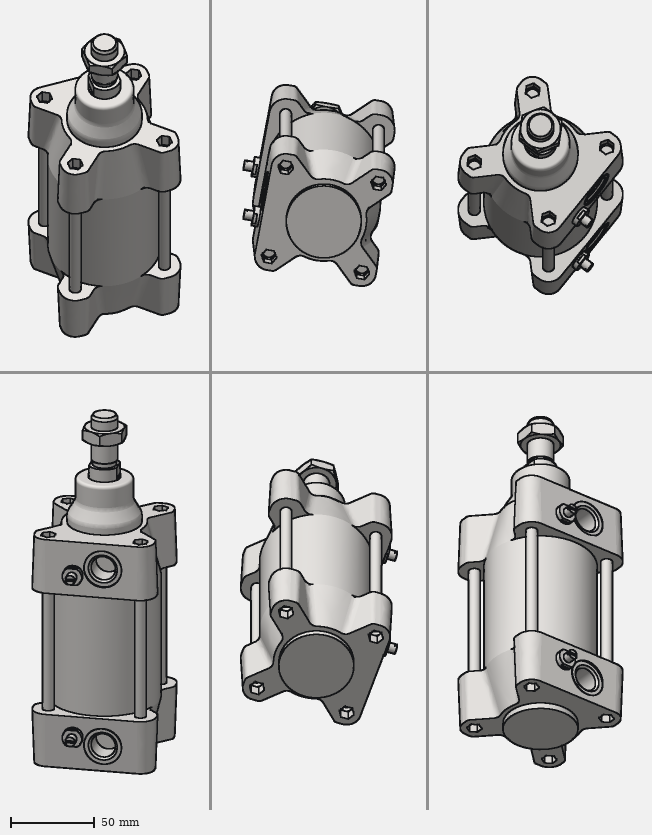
import cadquery as cq
import math


rear_spigot_length = 4.0
cap_length = 34.0
barrel_length = 78.0
gland_length = 29.0
flats_length = 8.0
thread_length = 32.0
rear_cap_inner = rear_spigot_length + cap_length
front_cap_inner = rear_cap_inner + barrel_length
front_cap_outer = front_cap_inner + cap_length
gland_top = front_cap_outer + gland_length
thread_start = gland_top + flats_length
rod_top = thread_start + thread_length

cap_half_width = 38.0
cap_draft = 2.0
bolt_half_spacing = 28.25
corner_radius = cap_half_width - bolt_half_spacing
arm_edge_radius = 4.75
arm_edge_centre = 25.1
barrel_diameter = 68.0
hub_outer_radius = 25.7
hub_blend_radius = 5.0
socket_across_flats = 8.0
socket_depth = 8.0
socket_bore_depth = 12.0

port_y = -7.0
port_height = 18.0
port_seat_diameter = 23.0
port_seat_x = -36.75
port_bore_diameter = 14.9
port_mouth_diameter = 17.7
port_depth = 15.0

screw_y = 11.0
screw_height = 13.0
screw_collar_diameter = 12.0
screw_collar_base_x = -39.0
screw_collar_end_x = -41.0
screw_collar_across_flats = 10.4
screw_pin_diameter = 6.0
screw_tip_x = -46.5
screw_slot_width = 1.3
screw_slot_depth = 1.5
screw_root_x = -35.0

tie_rod_diameter = 7.1

spigot_diameter = 45.0
gland_neck_diameter = 35.0
gland_rim_radius = 2.0
gland_shoulder_height = 5.4
gland_cone_angle = 30.0
gland_cone_blend = 5.0

rod_diameter = 19.5
rod_across_flats = 17.0
rod_collar_length = 1.0
thread_diameter = 16.0
thread_tip_diameter = 13.7
thread_tip_length = 2.0
relief_diameter = 14.5
relief_length = 3.0

nut_across_flats = 24.0
nut_thickness = 8.0
nut_top_gap = 8.0
nut_chamfer_angle = 30.0
nut_face_diameter = 24.0


def hexagon_diameter(across_flats):
    """Corner-to-corner size of a hexagon, whose corners lie on X."""
    return across_flats / math.cos(math.radians(30))


def along_minus_x(x_start, y, z):
    """Workplane at x_start facing -X, with its origin at (y, z)."""
    return cq.Workplane(cq.Plane(origin=(x_start, y, z), xDir=(0, -1, 0), normal=(-1, 0, 0)))


def along_plus_x(x_start, y, z):
    """Workplane at x_start facing +X, with its origin at (y, z)."""
    return cq.Workplane(cq.Plane(origin=(x_start, y, z), xDir=(0, 1, 0), normal=(1, 0, 0)))


def bolt_points():
    """Centres of the four tie rods."""
    sides = (-bolt_half_spacing, bolt_half_spacing)
    return [(x, y) for x in sides for y in sides]


def turned(points, angle):
    """Points turned about the cylinder axis by an angle in degrees."""
    cosine = math.cos(math.radians(angle))
    sine = math.sin(math.radians(angle))
    return [(x * cosine - y * sine, x * sine + y * cosine) for x, y in points]


def cap_outline():
    """Outline of a cap at its inner face: flat on -X, a 90 degree notch on the other three sides."""
    diagonal = math.sin(math.radians(45))
    half_bend = math.radians(22.5)
    corner_mid = bolt_half_spacing + corner_radius * diagonal
    edge_low = cap_half_width - arm_edge_radius
    edge_mid_across = arm_edge_centre - arm_edge_radius * math.sin(half_bend)
    edge_mid_out = edge_low + arm_edge_radius * math.cos(half_bend)
    edge_end_across = arm_edge_centre - arm_edge_radius * diagonal
    edge_end_out = edge_low + arm_edge_radius * diagonal
    notch_bottom = edge_end_out - edge_end_across

    side = [
        (-corner_mid, -corner_mid),
        (-bolt_half_spacing, -cap_half_width),
        (-arm_edge_centre, -cap_half_width),
        (-edge_mid_across, -edge_mid_out),
        (-edge_end_across, -edge_end_out),
        (0, -notch_bottom),
        (edge_end_across, -edge_end_out),
        (edge_mid_across, -edge_mid_out),
        (arm_edge_centre, -cap_half_width),
        (bolt_half_spacing, -cap_half_width),
    ]
    outline = cq.Workplane("XY").moveTo(-cap_half_width, bolt_half_spacing)
    outline = outline.lineTo(-cap_half_width, -bolt_half_spacing)
    for angle in (0, 90, 180):
        (
            corner, left_start, left_flat_end, left_bend, left_end,
            notch, right_end, right_bend, right_flat_start, right_start,
        ) = turned(side, angle)
        outline = (
            outline.threePointArc(corner, left_start)
            .lineTo(*left_flat_end)
            .threePointArc(left_bend, left_end)
            .lineTo(*notch)
            .lineTo(*right_end)
            .threePointArc(right_bend, right_flat_start)
            .lineTo(*right_start)
        )
    return outline.threePointArc((-corner_mid, corner_mid), (-cap_half_width, bolt_half_spacing)).close()


def cap_body():
    """Drafted plate and conical hub, blended together where they meet."""
    plate = cap_outline().extrude(cap_length, taper=cap_draft)
    hub_profile = cq.Workplane("XZ").polyline(
        [
            (0, 0),
            (barrel_diameter / 2, 0),
            (hub_outer_radius, cap_length),
            (0, cap_length),
        ]
    )
    hub = hub_profile.close().revolve(360, (0, 0, 0), (0, 1, 0))
    return plate.union(hub).edges("%HYPERBOLA or %BSPLINE").fillet(hub_blend_radius)


def port_cutter():
    """Flat seat, chamfered mouth and blind bore of a supply port."""
    seat_depth = cap_half_width + port_seat_x
    seat = (
        along_plus_x(-cap_half_width, port_y, port_height)
        .circle(port_seat_diameter / 2)
        .extrude(seat_depth)
    )
    mouth_depth = (port_mouth_diameter - port_bore_diameter) / 2
    mouth = (
        along_plus_x(port_seat_x, port_y, port_height)
        .circle(port_mouth_diameter / 2)
        .workplane(offset=mouth_depth)
        .circle(port_bore_diameter / 2)
        .loft()
    )
    bore = along_plus_x(port_seat_x, port_y, port_height).circle(port_bore_diameter / 2).extrude(port_depth)
    return seat.union(mouth).union(bore)


def cushion_screw():
    """Round collar with two flats, carrying a slotted pin."""
    base = (
        along_minus_x(screw_root_x, screw_y, screw_height)
        .circle(screw_collar_diameter / 2)
        .extrude(screw_root_x - screw_collar_base_x)
    )
    flats = along_minus_x(screw_collar_base_x, screw_y, screw_height)
    collar_length = screw_collar_base_x - screw_collar_end_x
    collar = (
        flats.circle(screw_collar_diameter / 2)
        .extrude(collar_length)
        .intersect(flats.rect(screw_collar_diameter, screw_collar_across_flats).extrude(collar_length))
    )
    pin = (
        along_minus_x(screw_collar_end_x, screw_y, screw_height)
        .circle(screw_pin_diameter / 2)
        .extrude(screw_collar_end_x - screw_tip_x)
    )
    slot = (
        along_plus_x(screw_tip_x, screw_y, screw_height)
        .rect(screw_pin_diameter, screw_slot_width)
        .extrude(screw_slot_depth)
    )
    return base.union(collar).union(pin.cut(slot))


def end_cap():
    """Complete cap, inner face on z = 0 and outer face up; its hexagon sockets continue as round bores."""
    bolt_places = cq.Workplane("XY", origin=(0, 0, cap_length)).pushPoints(bolt_points())
    sockets = bolt_places.polygon(6, hexagon_diameter(socket_across_flats)).extrude(-socket_depth)
    socket_bores = bolt_places.circle(socket_across_flats / 2).extrude(-socket_bore_depth)
    return cap_body().cut(sockets).cut(socket_bores).cut(port_cutter()).union(cushion_screw())


def gland():
    """Neck with a rounded rim, flared by a blended cone to the spigot diameter."""
    neck_radius = gland_neck_diameter / 2
    spigot_radius = spigot_diameter / 2
    cone_height = (spigot_radius - neck_radius) / math.tan(math.radians(gland_cone_angle))
    cone_start = front_cap_outer + gland_shoulder_height
    cone_end = cone_start + cone_height
    profile = cq.Workplane("XZ").polyline(
        [
            (0, front_cap_outer),
            (spigot_radius, front_cap_outer),
            (spigot_radius, cone_start),
            (neck_radius, cone_end),
            (neck_radius, gland_top),
            (0, gland_top),
        ]
    )
    body = profile.close().revolve(360, (0, 0, 0), (0, 1, 0))
    edge_margin = 1.0
    cone_edges = cq.selectors.BoxSelector(
        (-spigot_diameter, -spigot_diameter, cone_start - edge_margin),
        (spigot_diameter, spigot_diameter, cone_end + edge_margin),
    )
    body = body.edges(cone_edges).edges("%CIRCLE").fillet(gland_cone_blend)
    return body.faces(">Z").edges().fillet(gland_rim_radius)


def housing():
    """Both end caps, barrel, tie rods, gland and rear spigot."""
    front_cap = end_cap().translate((0, 0, front_cap_inner))
    rear_cap = end_cap().mirror("XY").translate((0, 0, rear_cap_inner))
    barrel_plane = cq.Workplane("XY", origin=(0, 0, rear_cap_inner))
    barrel = barrel_plane.circle(barrel_diameter / 2).extrude(barrel_length)
    tie_rods = barrel_plane.pushPoints(bolt_points()).circle(tie_rod_diameter / 2).extrude(barrel_length)
    spigot = cq.Workplane("XY").circle(spigot_diameter / 2).extrude(rear_spigot_length)
    body = front_cap.union(rear_cap).union(barrel).union(tie_rods).union(spigot).union(gland())
    rod_hole = (
        cq.Workplane("XY", origin=(0, 0, front_cap_inner))
        .circle(rod_diameter / 2)
        .extrude(gland_top - front_cap_inner)
    )
    return body.cut(rod_hole)


def piston_rod():
    """Stepped rod with two wrench flats facing -Y and +Y."""
    flats_start = gland_top + rod_collar_length
    relief_end = thread_start + relief_length
    profile = cq.Workplane("XZ").polyline(
        [
            (0, front_cap_inner),
            (rod_diameter / 2, front_cap_inner),
            (rod_diameter / 2, thread_start),
            (relief_diameter / 2, thread_start),
            (relief_diameter / 2, relief_end),
            (thread_diameter / 2, relief_end),
            (thread_diameter / 2, rod_top - thread_tip_length),
            (thread_tip_diameter / 2, rod_top),
            (0, rod_top),
        ]
    )
    rod = profile.close().revolve(360, (0, 0, 0), (0, 1, 0))
    flat_depth = (rod_diameter - rod_across_flats) / 2
    flat_centre = rod_across_flats / 2 + flat_depth / 2
    flats = (
        cq.Workplane("XY", origin=(0, 0, flats_start))
        .pushPoints([(0, -flat_centre), (0, flat_centre)])
        .rect(rod_diameter, flat_depth)
        .extrude(thread_start - flats_start)
    )
    return rod.cut(flats)


def lock_nut():
    """Hexagon nut with conically chamfered corners on both faces."""
    corner_to_axis = hexagon_diameter(nut_across_flats) / 2
    face_radius = nut_face_diameter / 2
    chamfer_height = (corner_to_axis - face_radius) * math.tan(math.radians(nut_chamfer_angle))
    nut_bottom = rod_top - nut_top_gap - nut_thickness
    blank = (
        cq.Workplane("XY", origin=(0, 0, nut_bottom))
        .polygon(6, hexagon_diameter(nut_across_flats))
        .circle(thread_diameter / 2)
        .extrude(nut_thickness)
    )
    envelope = cq.Workplane("XZ", origin=(0, 0, nut_bottom)).polyline(
        [
            (0, 0),
            (face_radius, 0),
            (corner_to_axis, chamfer_height),
            (corner_to_axis, nut_thickness - chamfer_height),
            (face_radius, nut_thickness),
            (0, nut_thickness),
        ]
    )
    return blank.intersect(envelope.close().revolve(360, (0, 0, 0), (0, 1, 0)))


result = cq.Compound.makeCompound(
    [
        housing().val(),
        piston_rod().val(),
        lock_nut().val(),
    ]
)